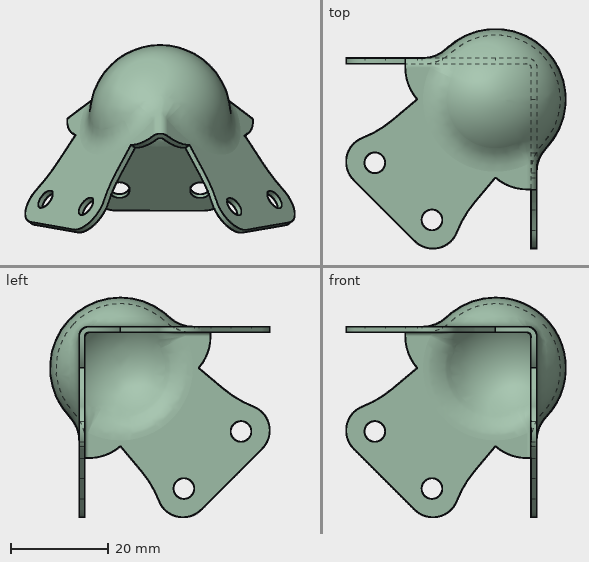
import cadquery as cq
import math


SHEET = 1.2
BALL_RADIUS = 14.5
PLATE_OFFSET = 8.5
BEND_RADIUS = 2.0
BLEND_RADIUS = 7.0

OVERALL = 45.21
CORNER_RADIUS = 5.3
CORNER_SPACING = 17.76
HOLE_DIAMETER = 4.2
HOLE_SPACING = 16.6
HOLE_REACH = 26.75
NOTCH = 16.1
EAR_REACH = 18.55
FLANK_ANGLE = 40.0
FLANK_RADIUS = 22.0

BEND_START = PLATE_OFFSET - BEND_RADIUS
BLANK_REACH = 40.0
MARGIN = 5.0
BEHIND_BALL = BALL_RADIUS + MARGIN
TOLERANCE = 0.001
ROOT_2 = math.sqrt(2)


def on_diagonal(along, across):
    """Point given along and across the plate's diagonal, as (a, b)."""
    return ((along + across) / ROOT_2, (along - across) / ROOT_2)


def mirrored(point):
    """The same point on the other side of the plate's diagonal."""
    return (point[1], point[0])


def blended_form(inset):
    """Solid ball and rounded box corner, every surface moved inward by inset."""
    ball_radius = BALL_RADIUS - inset
    face = PLATE_OFFSET - inset
    length = face + BLANK_REACH + inset
    centre = face - length / 2
    box = cq.Workplane().box(length, length, length).translate((centre, centre, centre))
    box = box.edges(">X and >Y or >X and >Z or >Y and >Z").fillet(BEND_RADIUS - inset)
    form = box.union(cq.Workplane().sphere(ball_radius))

    def is_joint(edge):
        """True along the joint with the box, but not on the ball's seam in the XZ plane."""
        middle = edge.positionAt(0.5)
        on_ball = abs(middle.Length - ball_radius) < TOLERANCE
        return on_ball and abs(middle.y) > TOLERANCE

    joints = [edge for edge in form.edges().vals() if is_joint(edge)]
    return form.newObject(joints).fillet(BLEND_RADIUS + inset)


def arc_middle(centre, radius, start, end):
    """Middle point of the shorter arc from start to end about centre."""
    x = start[0] + end[0] - 2 * centre[0]
    y = start[1] + end[1] - 2 * centre[1]
    scale = radius / math.hypot(x, y)
    return (centre[0] + x * scale, centre[1] + y * scale)


def plate_outline():
    """Closed outline of one plate in (a, b), symmetric about its diagonal.

    Beyond the two bends it runs on past the ball, so that only the free edges are trimmed.
    """
    corner_a = OVERALL - BALL_RADIUS - CORNER_RADIUS
    corner = (corner_a, corner_a - CORNER_SPACING / ROOT_2)
    corner_end = (corner[0] + CORNER_RADIUS / ROOT_2, corner[1] + CORNER_RADIUS / ROOT_2)

    flank = math.radians(FLANK_ANGLE)
    direction = (math.cos(flank), math.sin(flank))
    normal = (math.sin(flank), -math.cos(flank))
    offset_start = (NOTCH + FLANK_RADIUS * normal[0], FLANK_RADIUS * normal[1])
    gap = (corner[0] - offset_start[0], corner[1] - offset_start[1])
    forward = gap[0] * direction[0] + gap[1] * direction[1]
    sideways = gap[0] * normal[0] + gap[1] * normal[1]
    reach = CORNER_RADIUS + FLANK_RADIUS
    travel = forward - math.sqrt(reach**2 - sideways**2)
    hollow = (offset_start[0] + travel * direction[0], offset_start[1] + travel * direction[1])

    notch = (NOTCH, 0)
    flank_end = (NOTCH + travel * direction[0], travel * direction[1])
    share = CORNER_RADIUS / reach
    corner_start = (
        corner[0] + share * (hollow[0] - corner[0]),
        corner[1] + share * (hollow[1] - corner[1]),
    )
    hollow_middle = arc_middle(hollow, FLANK_RADIUS, flank_end, corner_start)
    corner_middle = arc_middle(corner, CORNER_RADIUS, corner_start, corner_end)

    ear_start = (EAR_REACH, -BEND_START)
    ear_drop = EAR_REACH - NOTCH
    ear_radius = (ear_drop**2 + BEND_START**2) / (2 * ear_drop)
    ear_centre = (EAR_REACH - ear_radius, -BEND_START)
    ear_middle = arc_middle(ear_centre, ear_radius, ear_start, notch)

    return (
        cq.Workplane()
        .moveTo(-BEHIND_BALL, -BEHIND_BALL)
        .lineTo(EAR_REACH, -BEHIND_BALL)
        .lineTo(*ear_start)
        .threePointArc(ear_middle, notch)
        .lineTo(*flank_end)
        .threePointArc(hollow_middle, corner_start)
        .threePointArc(corner_middle, corner_end)
        .lineTo(*mirrored(corner_end))
        .threePointArc(mirrored(corner_middle), mirrored(corner_start))
        .threePointArc(mirrored(hollow_middle), mirrored(flank_end))
        .lineTo(*mirrored(notch))
        .threePointArc(mirrored(ear_middle), mirrored(ear_start))
        .lineTo(-BEHIND_BALL, EAR_REACH)
        .close()
    )


def plate_trimmer():
    """Material to remove from the top plate: everything outside its outline, and its two holes."""
    depth = PLATE_OFFSET - BEND_START
    side = BEHIND_BALL + BLANK_REACH + MARGIN
    centre = side / 2 - BEHIND_BALL
    blank = cq.Workplane().center(centre, centre).rect(side, side).extrude(depth)
    hole_points = [on_diagonal(HOLE_REACH, HOLE_SPACING / 2), on_diagonal(HOLE_REACH, -HOLE_SPACING / 2)]
    holes = cq.Workplane().pushPoints(hole_points).circle(HOLE_DIAMETER / 2).extrude(depth)
    trimmer = blank.cut(plate_outline().extrude(depth)).union(holes)
    return trimmer.rotate((0, 0, 0), (0, 0, 1), 180).translate((0, 0, BEND_START))


result = blended_form(0).cut(blended_form(SHEET))
top_trimmer = plate_trimmer()
for turn in (0, 120, 240):
    result = result.cut(top_trimmer.rotate((0, 0, 0), (1, 1, 1), turn))